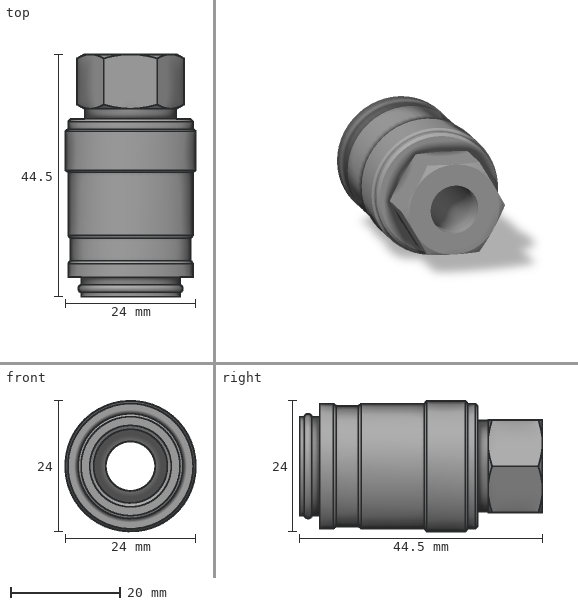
import cadquery as cq
import math


length = 44.5
seal_start = 0.85
seal_end = 2.22
flange_start = 3.65
groove_start = 6.15
groove_end = 11.3
ring_start = 22.87
ring_end = 30.8
body_end = 32.65
hex_length = 9.95
hex_start = length - hex_length

nose_radius = 9.1
seal_radius = 9.6
body_radius = 11.5
groove_radius = 11.1
groove_slope = 0.55
ring_radius = 11.993
ring_bevel = 0.4
body_chamfer = 0.5
neck_radius = 8.4

hex_flats = 17.0
hex_corner_radius = hex_flats / math.sqrt(3)
hex_bevel_angle = math.radians(30)

bore_radius = 6.75
bore_depth = 22.25
mouth_chamfer = 0.7
through_radius = 4.515


def turned_body():
    """Outer sleeve with its seal bead, groove, grip ring and neck."""
    seal_middle = (seal_start + seal_end) / 2
    return (
        cq.Workplane("XY")
        .moveTo(0, 0)
        .lineTo(nose_radius, 0)
        .lineTo(nose_radius, seal_start)
        .threePointArc((seal_radius, seal_middle), (nose_radius, seal_end))
        .lineTo(nose_radius, flange_start)
        .lineTo(body_radius, flange_start)
        .lineTo(body_radius, groove_start)
        .lineTo(groove_radius, groove_start + groove_slope)
        .lineTo(groove_radius, groove_end - groove_slope)
        .lineTo(body_radius, groove_end)
        .lineTo(body_radius, ring_start)
        .lineTo(ring_radius, ring_start + ring_bevel)
        .lineTo(ring_radius, ring_end - ring_bevel)
        .lineTo(body_radius, ring_end)
        .lineTo(body_radius, body_end - body_chamfer)
        .lineTo(body_radius - body_chamfer, body_end)
        .lineTo(neck_radius, body_end)
        .lineTo(neck_radius, hex_start)
        .lineTo(0, hex_start)
        .close()
        .revolve(360, (0, 0), (0, 1))
    )


def hexagon():
    """Hexagon whose corners are trimmed by a cone at each end."""
    prism = (
        cq.Workplane("XZ", origin=(0, length, 0))
        .polygon(6, 2 * hex_corner_radius)
        .extrude(hex_length)
    )
    flat_radius = hex_flats / 2
    bevel_length = (hex_corner_radius - flat_radius) * math.tan(hex_bevel_angle)
    trim = (
        cq.Workplane("XY")
        .moveTo(0, hex_start)
        .lineTo(flat_radius, hex_start)
        .lineTo(hex_corner_radius, hex_start + bevel_length)
        .lineTo(hex_corner_radius, length - bevel_length)
        .lineTo(flat_radius, length)
        .lineTo(0, length)
        .close()
        .revolve(360, (0, 0), (0, 1))
    )
    return prism.intersect(trim)


def passage():
    """Chamfered mouth, plug bore and the smaller hole that runs right through."""
    return (
        cq.Workplane("XY")
        .moveTo(0, 0)
        .lineTo(bore_radius + mouth_chamfer, 0)
        .lineTo(bore_radius, mouth_chamfer)
        .lineTo(bore_radius, bore_depth)
        .lineTo(through_radius, bore_depth)
        .lineTo(through_radius, length)
        .lineTo(0, length)
        .close()
        .revolve(360, (0, 0), (0, 1))
    )


result = turned_body().union(hexagon()).cut(passage())